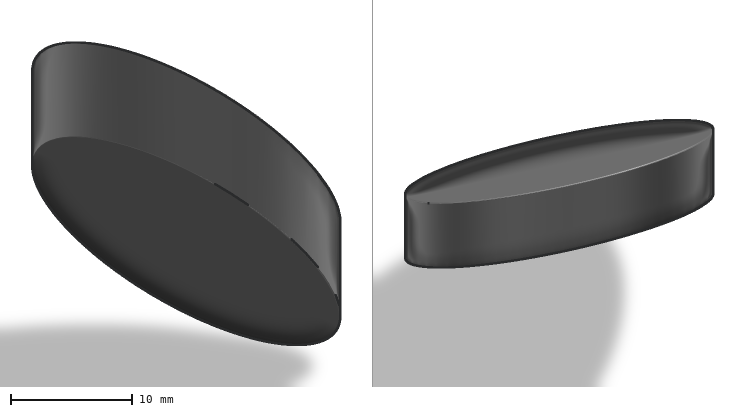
import cadquery as cq
import math

diameter = 25.4
overall_height = 33.53
face_angle = 45.0
rim_radius = 0.1

radius = diameter / 2
face_drop = diameter * math.tan(math.radians(face_angle))

tip_angle = 90.0 - face_angle
tip_loss = rim_radius * (1 / math.tan(math.radians(tip_angle / 2)) - 1)
wall_height = overall_height + 2 * tip_loss - face_drop

tip_z = (face_drop + wall_height) / 2
shoulder_z = tip_z - wall_height
side_profile = [
    (-radius, shoulder_z),
    (-radius, tip_z),
    (radius, -shoulder_z),
    (radius, -tip_z),
]

slanted_slab = cq.Workplane("YZ").polyline(side_profile).close().extrude(radius, both=True)
cylinder = cq.Workplane("XY").circle(radius).extrude(tip_z, both=True)
substrate = cylinder.intersect(slanted_slab)

result = substrate.edges("%ELLIPSE").fillet(rim_radius)